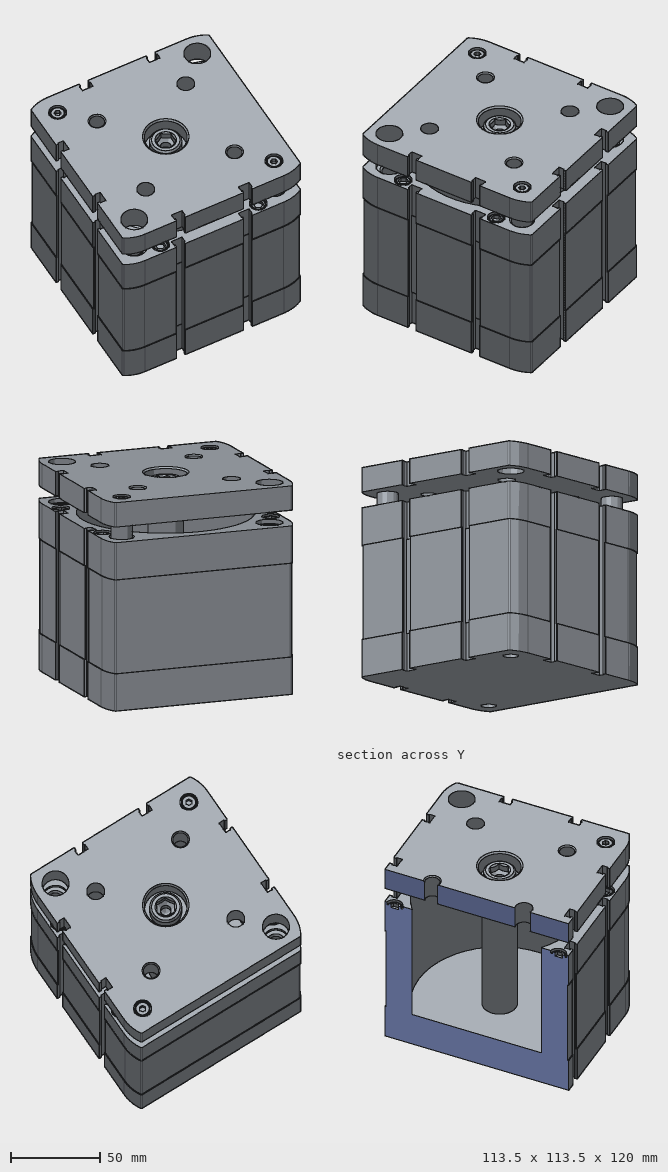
import cadquery as cq
import math

side = 113.5
total_height = 120
plate_thickness = 14.0
gap = 9.0
cap_height = 21.5
barrel_inset = 0.5
half_side = side / 2
plate_bottom = total_height - plate_thickness
housing_height = plate_bottom - gap

flank_radius = 24
flank_start = 44.3
edge_fillet = 1.2

slot_offset = 21.4
slot_mouth = 5.3
slot_width = 6.7
slot_depth = 5.0
slot_lip = 1.7
slot_mouth_chamfer = 0.2
barrel_slot_depth = 4.8

bore_diameter = 100.0
bore_floor = cap_height
rod_diameter = 20.0
rod_flat_width = 17.0
rod_flat_bottom = 99.0
rod_flat_runout_angle = 30
neck_diameter = 18
neck_chamfer = 1.1
neck_recess = 3.0
plate_bore = 24
plate_bore_depth = 10.0
plate_bore_chamfer = 1.0
rod_hex = 10.0
rod_hex_depth = 3.8
rod_countersink = 12
rod_drill = 6
rod_drill_depth = 9.6
drill_angle = 118

corner_offset = 44.5
guide_diameter = 12
guide_floor = cap_height
guide_countersink = 14.0
mount_clearance = 15.0
mount_recess_depth = 2.4
mount_hole = 8.5
mount_countersink = 10.7

fixing_offset = 80.0 / 2 * math.sin(math.radians(45))
fixing_diameter = 10.0
thread_diameter = 8.5

screw_seat_diameter = 10.0
screw_seat_depth = 1.8
screw_head_diameter = 8.4
screw_head_drop = 0.6
screw_head_chamfer = 0.5
screw_hex_depth = 2.4
guide_screw_hex = 3.4
tie_screw_hex = 5.0
tie_screw_x = 50.6
tie_screw_y = 31.2

guide_points = [(-corner_offset, -corner_offset), (corner_offset, corner_offset)]
mount_points = [(-corner_offset, corner_offset), (corner_offset, -corner_offset)]
threaded_points = [(-fixing_offset, -fixing_offset), (fixing_offset, fixing_offset)]
plain_points = [(-fixing_offset, fixing_offset), (fixing_offset, -fixing_offset)]
tie_points = [(sx * tie_screw_x, sy * tie_screw_y) for sx in (-1, 1) for sy in (-1, 1)]


def cylinder(point, diameter, bottom, top):
    """Upright cylinder between two heights."""
    return cq.Workplane(origin=(*point, bottom)).circle(diameter / 2).extrude(top - bottom)


def cone(point, bottom_diameter, top_diameter, bottom, top):
    """Upright cone between two heights; a zero bottom diameter gives a sharp tip."""
    solid = cq.Solid.makeCone(
        bottom_diameter / 2, top_diameter / 2, top - bottom, cq.Vector(*point, bottom)
    )
    return cq.Workplane(obj=solid)


def countersink(point, hole, mouth, top):
    """45 degree cutter that opens a hole to its mouth diameter."""
    return cone(point, hole, mouth, top - (mouth - hole) / 2, top)


def hexagon(point, across_flats, bottom, top):
    """Upright hexagonal prism with corners on the X axis."""
    across_corners = across_flats / math.cos(math.radians(30))
    return cq.Workplane(origin=(*point, bottom)).polygon(6, across_corners).extrude(top - bottom)


def slab(bottom, top, inset=0):
    """Square block with bulged X flanks, narrowed on every side by the inset."""
    edge = half_side - inset
    radius = flank_radius - inset
    arc_centre = edge - radius

    def flank(y):
        return arc_centre + math.sqrt(radius**2 - (y - flank_start) ** 2)

    middle = (flank_start + edge) / 2
    outline = (
        cq.Workplane(origin=(0, 0, bottom))
        .moveTo(edge, -flank_start)
        .lineTo(edge, flank_start)
        .threePointArc((flank(middle), middle), (flank(edge), edge))
        .lineTo(-flank(edge), edge)
        .threePointArc((-flank(middle), middle), (-edge, flank_start))
        .lineTo(-edge, -flank_start)
        .threePointArc((-flank(middle), -middle), (-flank(edge), -edge))
        .lineTo(flank(edge), -edge)
        .threePointArc((flank(middle), -middle), (edge, -flank_start))
        .close()
    )
    body = outline.extrude(top - bottom)
    for side_face in ("<Y", ">Y"):
        body = body.faces(side_face).edges("|Z").fillet(edge_fillet)
    return body


def slots(bottom, top, face, depth):
    """Cutters for two T-slots in each of the -Y, -X and +X faces, which lie at the face distance."""
    floor = half_side - depth
    lip = half_side - slot_lip
    mouth = slot_mouth / 2
    groove = slot_width / 2
    flare = mouth + slot_mouth_chamfer
    half_profile = [
        (flare, -face),
        (mouth, -face + slot_mouth_chamfer),
        (mouth, -lip),
        (groove, -lip),
        (groove, -floor),
    ]
    profile = half_profile + [(-x, y) for x, y in reversed(half_profile)]
    slot = cq.Workplane(origin=(0, 0, bottom)).polyline(profile).close().extrude(top - bottom)
    cutters = cq.Workplane()
    for x in (-slot_offset, slot_offset):
        for turn in (-90, 0, 90):
            cutters = cutters.add(slot.translate((x, 0, 0)).rotate((0, 0, 0), (0, 0, 1), turn))
    return cutters.combine()


def slotted_slab(bottom, top, inset=0, depth=slot_depth):
    """Slab with its T-slots."""
    return slab(bottom, top, inset).cut(slots(bottom, top, half_side - inset, depth))


def add_screw(body, point, surface, hex_size):
    """Sink a socket screw head in a round seat, with a ring gap around the head."""
    head_top = surface - screw_head_drop
    seat_floor = surface - screw_seat_depth
    seat = cylinder(point, screw_seat_diameter, seat_floor, surface)
    head = cylinder(point, screw_head_diameter, seat_floor, head_top)
    head = head.faces(">Z").chamfer(screw_head_chamfer)
    socket = hexagon(point, hex_size, head_top - screw_hex_depth, surface)
    return body.cut(seat).union(head).cut(socket)


def make_housing():
    """Barrel between two caps, open at the top for the piston and guide rods."""
    barrel_top = housing_height - cap_height
    body = slotted_slab(0, cap_height)
    body = body.union(slotted_slab(cap_height, barrel_top, barrel_inset, barrel_slot_depth))
    body = body.union(slotted_slab(barrel_top, housing_height))
    body = body.cut(cylinder((0, 0), bore_diameter, bore_floor, housing_height))
    for point in guide_points:
        body = body.cut(cylinder(point, guide_diameter, guide_floor, housing_height))
        body = body.cut(countersink(point, guide_diameter, guide_countersink, housing_height))
    recess_floor = housing_height - mount_recess_depth
    for point in mount_points:
        body = body.cut(cylinder(point, mount_clearance, recess_floor, housing_height))
        body = body.cut(cylinder(point, mount_hole, 0, recess_floor))
        body = body.cut(countersink(point, mount_hole, mount_countersink, recess_floor))
    for point in tie_points:
        body = add_screw(body, point, housing_height, tie_screw_hex)
    return body


def drill_point(diameter, top):
    """Pointed end of a drilled hole on the central axis."""
    depth = diameter / 2 / math.tan(math.radians(drill_angle / 2))
    return cone((0, 0), 0, diameter, top - depth, top)


def make_piston_rod():
    """Rod with wrench flats, a chamfered neck and a hexagon socket in its end."""
    centre = (0, 0)
    neck_top = total_height - neck_recess
    shoulder = total_height - plate_bore_depth
    rod = cylinder(centre, rod_diameter, bore_floor, shoulder)
    flat = rod_flat_width / 2
    beyond = rod_diameter
    runout = (beyond - flat) * math.tan(math.radians(rod_flat_runout_angle))
    flat_cutter = (
        cq.Workplane("YZ", origin=(-rod_diameter / 2, 0, 0))
        .moveTo(flat, plate_bottom)
        .lineTo(flat, rod_flat_bottom)
        .lineTo(beyond, rod_flat_bottom - runout)
        .lineTo(beyond, plate_bottom)
        .close()
        .extrude(rod_diameter)
    )
    rod = rod.cut(flat_cutter).cut(flat_cutter.mirror("XZ"))
    neck = cylinder(centre, neck_diameter, shoulder, neck_top).faces(">Z").chamfer(neck_chamfer)
    rod = rod.union(neck)

    hex_floor = neck_top - rod_hex_depth
    drill_floor = neck_top - rod_drill_depth
    hex_prism = hexagon(centre, rod_hex, drill_floor, neck_top)
    above = cylinder(centre, rod_countersink, hex_floor, neck_top)
    socket = hex_prism.intersect(above.union(drill_point(rod_countersink, hex_floor)))
    rod = rod.cut(socket)
    rod = rod.cut(cylinder(centre, rod_drill, drill_floor, hex_floor))
    rod = rod.cut(drill_point(rod_drill, drill_floor))
    return rod.cut(countersink(centre, rod_hex, rod_countersink, neck_top))


def make_carriage():
    """Tool plate with its piston rod and two guide rods, moving as one piece."""
    centre = (0, 0)
    body = slotted_slab(plate_bottom, total_height)
    body = body.cut(cylinder(centre, rod_diameter, plate_bottom, total_height))
    mouth = plate_bore + 2 * plate_bore_chamfer
    body = body.cut(cylinder(centre, plate_bore, total_height - plate_bore_depth, total_height))
    body = body.cut(countersink(centre, plate_bore, mouth, total_height))
    for point in mount_points:
        body = body.cut(cylinder(point, mount_clearance, plate_bottom, total_height))
    for point in plain_points:
        body = body.cut(cylinder(point, fixing_diameter, plate_bottom, total_height))
    for point in threaded_points:
        body = body.cut(cylinder(point, thread_diameter, plate_bottom, total_height))
        body = body.cut(countersink(point, thread_diameter, fixing_diameter, total_height))
    for point in guide_points:
        body = add_screw(body, point, total_height, guide_screw_hex)
        body = body.union(cylinder(point, guide_diameter, guide_floor, plate_bottom))
    return body.union(make_piston_rod())


housing = make_housing()
carriage = make_carriage()
result = cq.Compound.makeCompound([housing.solids().val(), carriage.solids().val()])